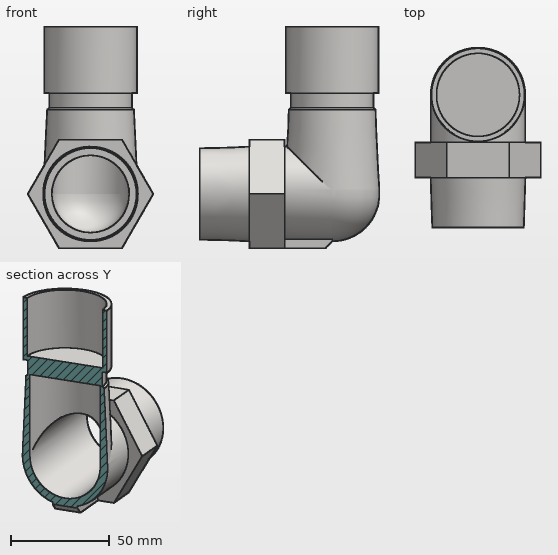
import cadquery as cq
import math


elbow_radius = 24.0
bore_radius = 39.0 / 2

shoulder_height = 43.5
neck_radius = 42.0 / 2
arm_chamfer = 1.0
arm_top_radius = neck_radius + arm_chamfer
collar_base_height = 51.0
collar_radius = 47.0 / 2
collar_top_height = 84.5
socket_radius = 42.0 / 2
socket_depth = 31.0

hex_across_flats = 55.0
hex_across_corners = hex_across_flats / math.cos(math.radians(30))
hex_start = 24.0
hex_end = 41.8
thread_end = 67.0
thread_root_radius = elbow_radius
thread_tip_radius = 23.2

lug_width = 14.0
lug_bottom = -hex_across_flats / 2
lug_chamfer = hex_across_flats / 2 - elbow_radius


def along_arm(start):
    """Workplane across the threaded arm; its normal points towards -Y."""
    return cq.Workplane("XZ").workplane(offset=start)


def make_vertical_arm():
    """Tapered arm, neck and collar, turned about Z."""
    chamfer_base_height = shoulder_height - arm_chamfer
    return (
        cq.Workplane("XZ")
        .moveTo(0, 0)
        .lineTo(elbow_radius, 0)
        .lineTo(arm_top_radius, chamfer_base_height)
        .lineTo(neck_radius, shoulder_height)
        .lineTo(neck_radius, collar_base_height)
        .lineTo(collar_radius, collar_base_height)
        .lineTo(collar_radius, collar_top_height)
        .lineTo(0, collar_top_height)
        .close()
        .revolve(360, (0, 0, 0), (0, 1, 0))
    )


def make_threaded_arm():
    """Round arm, hexagon and tapered thread cone along -Y."""
    round_arm = along_arm(0).circle(elbow_radius).extrude(hex_start)
    hexagon = (
        along_arm(hex_start)
        .polygon(6, hex_across_corners)
        .extrude(hex_end - hex_start)
    )
    thread = (
        cq.Workplane("XY")
        .moveTo(0, -hex_end)
        .lineTo(thread_root_radius, -hex_end)
        .lineTo(thread_tip_radius, -thread_end)
        .lineTo(0, -thread_end)
        .close()
        .revolve(360, (0, 0, 0), (0, 1, 0))
    )
    return round_arm.union(hexagon).union(thread)


def make_lug():
    """Flat-bottomed lug behind the hexagon, with a sloped rear end."""
    return (
        cq.Workplane("YZ")
        .moveTo(0, 0)
        .lineTo(0, -elbow_radius)
        .lineTo(-lug_chamfer, lug_bottom)
        .lineTo(-hex_start, lug_bottom)
        .lineTo(-hex_start, 0)
        .close()
        .extrude(lug_width / 2, both=True)
    )


def make_flow_bore():
    """Bore from the thread end, round the elbow and up to the base of the neck, which stays solid."""
    inlet = along_arm(0).circle(bore_radius).extrude(thread_end)
    bend = cq.Workplane("XY").sphere(bore_radius)
    riser = cq.Workplane("XY").circle(bore_radius).extrude(shoulder_height)
    return inlet.union(bend).union(riser)


def make_socket():
    """Flat-bottomed blind socket in the collar."""
    return (
        cq.Workplane("XY")
        .workplane(offset=collar_top_height - socket_depth)
        .circle(socket_radius)
        .extrude(socket_depth)
    )


elbow = cq.Workplane("XY").sphere(elbow_radius)
body = elbow.union(make_vertical_arm()).union(make_threaded_arm()).union(make_lug())
result = body.cut(make_flow_bore()).cut(make_socket())